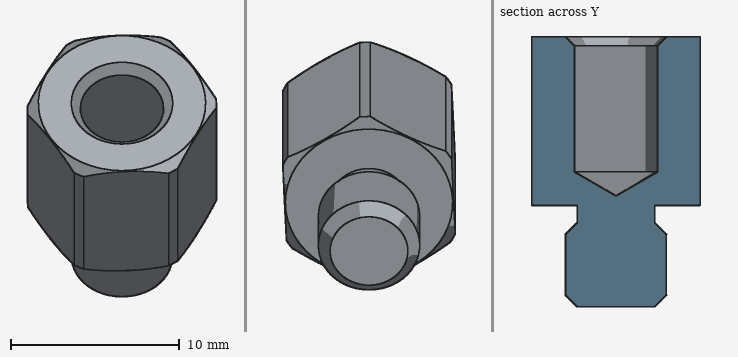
import cadquery as cq
import math

HEX_SIDES = 6
ACROSS_FLATS = 10.0
CORNER_DIAMETER = 11.2
BODY_HEIGHT = 10.0
FACE_DIAMETER = 9.9
END_CHAMFER_ANGLE = 30.0

STUD_DIAMETER = 6.0
STUD_LENGTH = 6.0
NECK_DIAMETER = 4.6
NECK_LENGTH = 1.0

HOLE_DIAMETER = 4.917
HOLE_DEPTH = 8.0
COUNTERSINK_DIAMETER = 6.0
DRILL_POINT_ANGLE = 120.0


def revolve_profile(points):
    """Revolve a closed (radius, height) outline about the Z axis."""
    return cq.Workplane("XZ").polyline(points).close().revolve(360, (0, 0), (0, 1))


def hex_body():
    """Hexagon with flats facing +X and -X, trimmed by a chamfered round bar."""
    across_corners = ACROSS_FLATS / math.cos(math.pi / HEX_SIDES)
    hexagon = (
        cq.Workplane("XY")
        .polygon(HEX_SIDES, across_corners)
        .extrude(BODY_HEIGHT)
        .rotate((0, 0, 0), (0, 0, 1), 180 / HEX_SIDES)
    )
    corner_radius = CORNER_DIAMETER / 2
    face_radius = FACE_DIAMETER / 2
    chamfer_height = (corner_radius - face_radius) * math.tan(math.radians(END_CHAMFER_ANGLE))
    round_bar = revolve_profile([
        (0, 0),
        (face_radius, 0),
        (corner_radius, chamfer_height),
        (corner_radius, BODY_HEIGHT - chamfer_height),
        (face_radius, BODY_HEIGHT),
        (0, BODY_HEIGHT),
    ])
    return hexagon.intersect(round_bar)


def stud():
    """Relieved neck, then the stud with 45 degree cones at both ends."""
    stud_radius = STUD_DIAMETER / 2
    neck_radius = NECK_DIAMETER / 2
    cone_height = stud_radius - neck_radius
    return revolve_profile([
        (0, 0),
        (neck_radius, 0),
        (neck_radius, -NECK_LENGTH),
        (stud_radius, -NECK_LENGTH - cone_height),
        (stud_radius, -STUD_LENGTH + cone_height),
        (neck_radius, -STUD_LENGTH),
        (0, -STUD_LENGTH),
    ])


def blind_hole():
    """Drilled hole with a 45 degree countersink and a conical bottom."""
    hole_radius = HOLE_DIAMETER / 2
    countersink_radius = COUNTERSINK_DIAMETER / 2
    countersink_depth = countersink_radius - hole_radius
    point_depth = hole_radius / math.tan(math.radians(DRILL_POINT_ANGLE / 2))
    hole_bottom = BODY_HEIGHT - HOLE_DEPTH
    return revolve_profile([
        (0, BODY_HEIGHT),
        (countersink_radius, BODY_HEIGHT),
        (hole_radius, BODY_HEIGHT - countersink_depth),
        (hole_radius, hole_bottom),
        (0, hole_bottom - point_depth),
    ])


result = hex_body().union(stud()).cut(blind_hole())